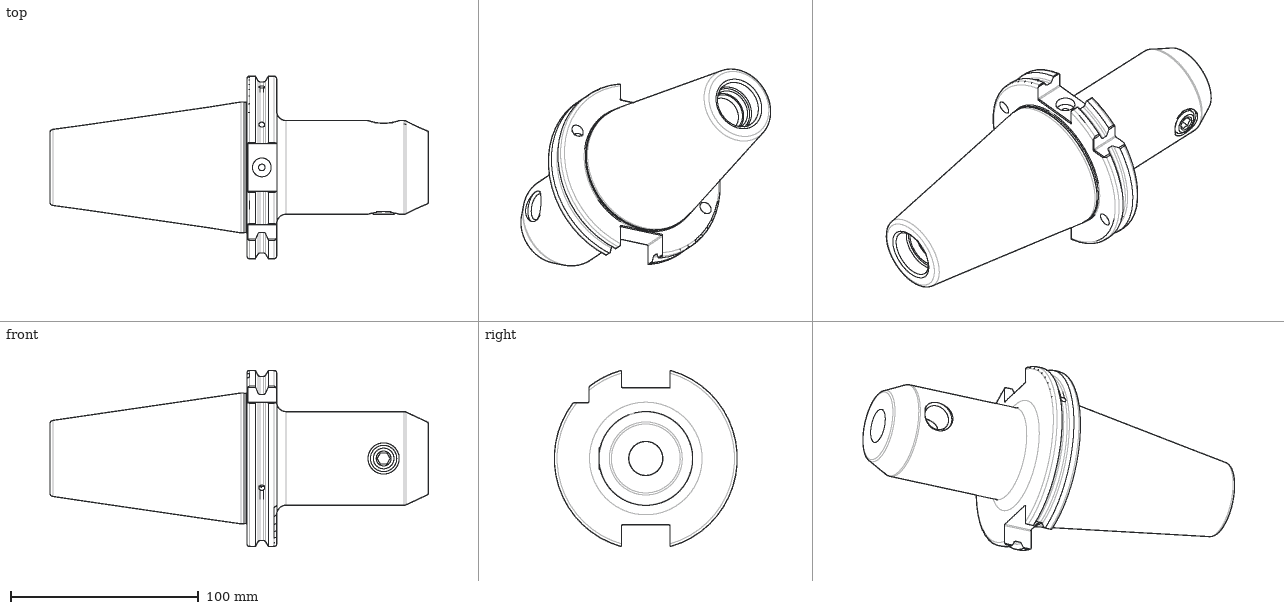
import cadquery as cq
import math


gauge_diameter = 69.85
taper_length = 101.75
taper_ratio = 7 / 24
shank_edge_radius = 2.0

relief_start = 1.6
relief_depth = 0.2
relief_fillet = 0.5

flange_start = 3.2
flange_width = 15.9
flange_diameter = 97.5
flange_edge_radius = 1.5
groove_floor_diameter = 91.25
groove_width = 7.0
groove_half_angle = 30
groove_corner_radius = 1.2

nose_length = 100.0
nose_diameter = 50.0
collar_radius = 5.0
nose_cone_length = 12.6
nose_cone_angle = 25
nose_cone_blend = 2.0
nose_edge_radius = 1.2

tool_bore_diameter = 18.0
pilot_mouth_diameter = 28.0
pilot_diameter = 25.0
pilot_depth = 8.4
mouth_chamfer_length = 1.0
thread_mouth_diameter = 24.0
thread_mouth_depth = 9.5
thread_core_diameter = 21.4
thread_depth = 13.7
throat_diameter = 20.0
throat_depth = 16.3

slot_width = 25.7
upper_slot_height = 37.7
lower_slot_height = 35.4
notch_offset_y = 30.3
notch_offset_z = 29.8
slot_corner_radius = 0.5
slot_edge_chamfer = 0.5
rim_clearance = 5.0

chip_pocket_diameter = 10.0
chip_pocket_depth = 4.6
chip_drill_diameter = 3.5
chip_drill_depth = 3.0
drill_point_angle = 118

coolant_port_angles = (20, 200)
coolant_port_diameter = 6.0
coolant_port_pitch_radius = 41.7
coolant_port_tilt = 30
coolant_port_length = 7.5
groove_hole_angles = (20, 60, 200)
groove_hole_diameter = 3.0
groove_hole_depth = 6.0

screw_x = 76.0
screw_diameter = 14.0
screw_length = 16.0
screw_chamfer = 1.5
screw_socket_flats = 6.0
screw_socket_depth = 7.0
socket_mouth_diameter = 7.9
cross_hole_mouth_diameter = 16.6

selection_margin = 0.05

flange_end = flange_start + flange_width
flange_middle = flange_start + flange_width / 2
flange_radius = flange_diameter / 2
slot_clearance_radius = flange_radius + rim_clearance
nose_radius = nose_diameter / 2
gauge_radius = gauge_diameter / 2
shank_end_radius = gauge_radius - taper_length * taper_ratio / 2
relief_radius = gauge_radius - relief_depth
nose_end_radius = nose_radius - nose_cone_length * math.tan(math.radians(nose_cone_angle))


def outline():
    """Start of an outline drawn as (x, radius) in the upright plane through the axis."""
    return cq.Workplane("XZ")


def revolve_about_axis(profile):
    """Full revolution about X of an outline drawn as (x, radius)."""
    return profile.close().revolve(360, (0, 0, 0), (1, 0, 0))


def edges_on_circle(x, radius):
    """Selector box around the whole circular edge at one station of the axis."""
    return cq.selectors.BoxSelector(
        (x - selection_margin, -radius - selection_margin, -radius - selection_margin),
        (x + selection_margin, radius + selection_margin, radius + selection_margin),
        boundingbox=True,
    )


def make_shank_and_nose():
    cone_start = nose_length - nose_cone_length
    body = revolve_about_axis(
        outline()
        .moveTo(-taper_length, 0)
        .lineTo(-taper_length, shank_end_radius)
        .lineTo(0, gauge_radius)
        .lineTo(relief_start, gauge_radius)
        .lineTo(relief_start, relief_radius)
        .lineTo(flange_start - relief_fillet, relief_radius)
        .radiusArc((flange_start, relief_radius + relief_fillet), -relief_fillet)
        .lineTo(flange_end, nose_radius + collar_radius)
        .radiusArc((flange_end + collar_radius, nose_radius), -collar_radius)
        .lineTo(cone_start, nose_radius)
        .lineTo(nose_length, nose_end_radius)
        .lineTo(nose_length, 0)
    )
    body = body.faces("<X").edges().fillet(shank_edge_radius)
    body = body.faces(">X").edges().fillet(nose_edge_radius)
    return body.edges(edges_on_circle(cone_start, nose_radius)).edges("%CIRCLE").fillet(nose_cone_blend)


def make_flange():
    disc = (
        cq.Workplane("YZ", origin=(flange_start, 0, 0))
        .circle(flange_radius)
        .extrude(flange_width)
        .edges("%CIRCLE")
        .fillet(flange_edge_radius)
    )
    return disc.cut(make_gripper_groove())


def make_gripper_groove():
    floor_radius = groove_floor_diameter / 2
    depth = flange_radius - floor_radius
    wall_run = depth * math.tan(math.radians(groove_half_angle))
    half_rim = groove_width / 2
    half_floor = half_rim - wall_run
    ring = revolve_about_axis(
        outline()
        .moveTo(flange_middle - half_rim, flange_radius)
        .lineTo(flange_middle - half_floor, floor_radius)
        .lineTo(flange_middle + half_floor, floor_radius)
        .lineTo(flange_middle + half_rim, flange_radius)
    )
    floor_edges = cq.selectors.RadiusNthSelector(0)
    return ring.edges("%CIRCLE").edges(floor_edges).fillet(groove_corner_radius)


def slot_cutter(profile, foot_edges):
    """Cutter through the flange width, rounded along its feet."""
    return profile.extrude(flange_width).edges(foot_edges).fillet(slot_corner_radius)


def floor_bevel(height, side):
    """Wedge that bevels the floor of a drive slot along the taper side of the flange."""
    return (
        cq.Workplane("XZ", origin=(0, slot_width / 2, 0))
        .moveTo(flange_start, side * (height - slot_edge_chamfer))
        .lineTo(flange_start + slot_edge_chamfer, side * height)
        .lineTo(flange_start, side * height)
        .close()
        .extrude(slot_width)
    )


def bevelled_cutter(cutter):
    """The same cutter, flared at 45 degrees all round where it meets the taper side of the flange."""
    flare = (
        cutter.faces("<X")
        .wires()
        .toPending()
        .offset2D(slot_edge_chamfer)
        .extrude(slot_edge_chamfer, taper=45)
    )
    return cutter.union(flare)


def rim_chamfer(angle, turn, wall_direction):
    """Two points of the cut that bevels a corner between a flat wall and the flange rim.

    The corner lies on the rim at the given angle. The cut starts on the wall, one chamfer below the
    corner, and passes through the rim one chamfer away from it, on past the metal.
    """
    corner = cq.Vector(flange_radius * math.cos(angle), flange_radius * math.sin(angle))
    on_wall = corner - cq.Vector(*wall_direction) * slot_edge_chamfer
    rim_angle = angle + turn * slot_edge_chamfer / flange_radius
    on_rim = cq.Vector(flange_radius * math.cos(rim_angle), flange_radius * math.sin(rim_angle))
    past_rim = on_rim + (on_rim - on_wall)
    return (on_wall.x, on_wall.y), (past_rim.x, past_rim.y)


def cut_drive_slots(body):
    half_width = slot_width / 2
    corner_angle = math.acos(half_width / flange_radius)
    (_, wall_height), (flare_y, flare_height) = rim_chamfer(corner_angle, -1, (0, 1))
    for side, height in ((1, upper_slot_height), (-1, lower_slot_height)):
        profile = (
            cq.Workplane("YZ", origin=(flange_start, 0, 0))
            .moveTo(-half_width, side * height)
            .lineTo(half_width, side * height)
            .lineTo(half_width, side * wall_height)
            .lineTo(flare_y, side * flare_height)
            .lineTo(0, side * slot_clearance_radius)
            .lineTo(-flare_y, side * flare_height)
            .lineTo(-half_width, side * wall_height)
            .close()
        )
        foot = "|X and <Z" if side > 0 else "|X and >Z"
        body = body.cut(slot_cutter(profile, foot)).cut(floor_bevel(height, side))
    return body


def cut_orientation_notch(body):
    upper_angle = math.acos(-notch_offset_y / flange_radius)
    lower_angle = math.pi - math.asin(notch_offset_z / flange_radius)
    upper_wall, upper_flare = rim_chamfer(upper_angle, -1, (0, 1))
    lower_wall, lower_flare = rim_chamfer(lower_angle, 1, (-1, 0))
    profile = (
        cq.Workplane("YZ", origin=(flange_start, 0, 0))
        .moveTo(-notch_offset_y, notch_offset_z)
        .lineTo(*upper_wall)
        .lineTo(*upper_flare)
        .lineTo(-flange_radius, flange_radius)
        .lineTo(*lower_flare)
        .lineTo(*lower_wall)
        .close()
    )
    foot = cq.selectors.NearestToPointSelector((flange_middle, -notch_offset_y, notch_offset_z))
    return body.cut(bevelled_cutter(slot_cutter(profile, foot)))


def cut_chip_pocket(body):
    """Round pocket in the floor of the upper slot, with a drilled hole on its centre."""
    floor = upper_slot_height - chip_pocket_depth
    drill_end = floor - chip_drill_depth
    drill_radius = chip_drill_diameter / 2
    drill_tip = drill_radius / math.tan(math.radians(drill_point_angle / 2))
    pocket = (
        cq.Workplane("XZ")
        .moveTo(0, upper_slot_height)
        .lineTo(chip_pocket_diameter / 2, upper_slot_height)
        .lineTo(chip_pocket_diameter / 2, floor)
        .lineTo(drill_radius, floor)
        .lineTo(drill_radius, drill_end)
        .lineTo(0, drill_end - drill_tip)
        .close()
        .revolve(360, (0, 0, 0), (0, 1, 0))
        .translate((flange_middle, 0, 0))
    )
    return body.cut(pocket)


def cut_coolant_ports(body):
    """Ports drilled from the taper side towards the axis, and radial holes from the groove floor."""
    tilt = math.radians(coolant_port_tilt)
    inward = cq.Vector(math.cos(tilt), -math.sin(tilt), 0)
    mouth = cq.Vector(flange_start, coolant_port_pitch_radius, 0)
    port = cq.Solid.makeCylinder(
        coolant_port_diameter / 2,
        coolant_port_length + coolant_port_diameter,
        mouth - inward * coolant_port_diameter,
        inward,
    )
    for angle in coolant_port_angles:
        body = body.cut(cq.Workplane(port.rotate(cq.Vector(), cq.Vector(1, 0, 0), angle)))
    for angle in groove_hole_angles:
        start_radius = groove_floor_diameter / 2 - groove_hole_depth
        hole = cq.Solid.makeCylinder(
            groove_hole_diameter / 2,
            flange_radius - start_radius,
            cq.Vector(flange_middle, start_radius, 0),
            cq.Vector(0, 1, 0),
        )
        body = body.cut(cq.Workplane(hole.rotate(cq.Vector(), cq.Vector(1, 0, 0), angle)))
    return body


def cut_bore(body):
    shank_end = -taper_length
    bore = revolve_about_axis(
        outline()
        .moveTo(shank_end, 0)
        .lineTo(shank_end, pilot_mouth_diameter / 2)
        .lineTo(shank_end + mouth_chamfer_length, pilot_diameter / 2)
        .lineTo(shank_end + pilot_depth, pilot_diameter / 2)
        .lineTo(shank_end + thread_mouth_depth, thread_mouth_diameter / 2)
        .lineTo(shank_end + thread_mouth_depth, thread_core_diameter / 2)
        .lineTo(shank_end + thread_depth, thread_core_diameter / 2)
        .lineTo(shank_end + thread_depth, throat_diameter / 2)
        .lineTo(shank_end + throat_depth, tool_bore_diameter / 2)
        .lineTo(nose_length, tool_bore_diameter / 2)
        .lineTo(nose_length, 0)
    )
    return body.cut(bore)


def cut_cross_hole(body):
    """Screw hole right through the nose along Y, countersunk on both sides."""
    mouth_radius = cross_hole_mouth_diameter / 2
    hole_radius = screw_diameter / 2
    chamfer = mouth_radius - hole_radius
    rim = math.sqrt(nose_radius**2 - mouth_radius**2)
    hole = (
        cq.Workplane("XY")
        .moveTo(0, -nose_radius)
        .lineTo(mouth_radius, -nose_radius)
        .lineTo(mouth_radius, -rim)
        .lineTo(hole_radius, -rim + chamfer)
        .lineTo(hole_radius, rim - chamfer)
        .lineTo(mouth_radius, rim)
        .lineTo(mouth_radius, nose_radius)
        .lineTo(0, nose_radius)
        .close()
        .revolve(360, (0, 0, 0), (0, 1, 0))
        .translate((screw_x, 0, 0))
    )
    return body.cut(hole)


def make_holder():
    body = make_shank_and_nose().union(make_flange())
    body = cut_drive_slots(body)
    body = cut_orientation_notch(body)
    body = cut_chip_pocket(body)
    body = cut_coolant_ports(body)
    body = cut_bore(body)
    return cut_cross_hole(body)


def make_clamping_screw():
    """Set screw flush with the nose surface on the -Y side, with a hexagon socket facing out."""
    socket_corners = 2 * screw_socket_flats / math.sqrt(3)
    mouth_chamfer = (socket_mouth_diameter - screw_socket_flats) / 2
    head = cq.Workplane("XZ", origin=(screw_x, -nose_radius, 0))
    screw = head.circle(screw_diameter / 2).extrude(-screw_length).edges("<Y").chamfer(screw_chamfer)
    socket = head.polygon(6, socket_corners).extrude(-screw_socket_depth)
    mouth = cq.Workplane(
        cq.Solid.makeCone(
            socket_mouth_diameter / 2,
            screw_socket_flats / 2,
            mouth_chamfer,
            cq.Vector(screw_x, -nose_radius, 0),
            cq.Vector(0, 1, 0),
        )
    )
    return screw.cut(socket).cut(mouth)


holder = make_holder()
clamping_screw = make_clamping_screw()
result = cq.Compound.makeCompound([holder.val(), clamping_screw.val()])